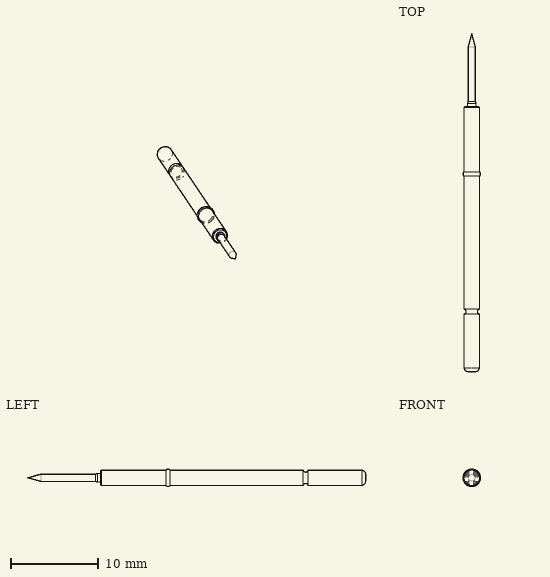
import cadquery as cq

total_length = 38.7

barrel_radius = 0.9
barrel_end = 30.38
mouth_chamfer = 0.1

rear_flat_radius = 0.4
dome_length = 0.43
dome_bulge = 0.1

groove_center = 6.9
groove_width = 0.58
groove_depth = 0.25

ring_center = 22.65
ring_width = 0.45
ring_radius = 1.0

needle_radius = 0.43
collar_radius = 0.5
collar_taper_start = 30.73
collar_taper_end = 30.95
cone_start = 37.2

groove_start = groove_center - groove_width / 2
groove_end = groove_center + groove_width / 2
ring_start = ring_center - ring_width / 2
ring_end = ring_center + ring_width / 2


def add_barrel(outline):
    """Continue the outline from the rear face to the rim of the barrel mouth."""
    return (
        outline
        .lineTo(0, rear_flat_radius)
        .sagittaArc((dome_length, barrel_radius), dome_bulge)
        .lineTo(groove_start, barrel_radius)
        .threePointArc((groove_center, barrel_radius - groove_depth), (groove_end, barrel_radius))
        .lineTo(ring_start, barrel_radius)
        .threePointArc((ring_center, ring_radius), (ring_end, barrel_radius))
        .lineTo(barrel_end - mouth_chamfer, barrel_radius)
        .lineTo(barrel_end, barrel_radius - mouth_chamfer)
    )


def add_plunger(outline):
    """Continue the outline from the barrel mouth to the needle tip."""
    return (
        outline
        .lineTo(barrel_end, collar_radius)
        .lineTo(collar_taper_start, collar_radius)
        .lineTo(collar_taper_end, needle_radius)
        .lineTo(cone_start, needle_radius)
        .lineTo(total_length, 0)
    )


rear_center = cq.Workplane("YZ").moveTo(0, 0)
half_outline = add_plunger(add_barrel(rear_center)).close()
result = half_outline.revolve(360, (0, 0, 0), (1, 0, 0))